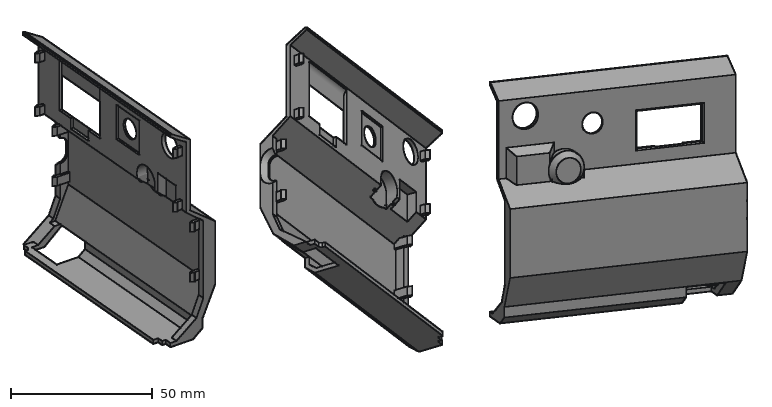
import cadquery as cq
import math


width = 90.15
height = 86.2
total_depth = 23.1
wall = 1.7

panel_back = 10.9
panel_front = panel_back + wall
panel_bottom_back = 52.7
panel_bottom_front = 52.4
slope_foot_back = 44.7
slope_foot_front = 43.8

lip_depth = 19.5
lip_end_flat = 0.7
lip_end_height = 1.0
lip_root_back = 81.5
lip_root_front = 80.95

lower_wall_bottom_back = 19.4
lower_wall_bottom_front = 20.0
bulge_top = 7.2
bulge_back = 5.5
bulge_wall = 1.9
bulge_inner = bulge_back + bulge_wall
bulge_inner_top = 7.0
bulge_corner_back = (9.65, 0)
bulge_corner_front = (10.3, wall)
bulge_side_bottom_back = 3.3
bulge_side_bottom_front = 4.0
floor_joint = 14.4

end_thickness = 2.9
end_front = 5.2
end_bend_high = 15.3
end_bend_low = (8.2, 8.2)
end_toe = 19.2
left_end_heel = 14.1

floor_step_depth = 21.0
tongue_left = 6.5
tongue_right = 84.7
tongue_chamfer = 0.9

opening_left = 5.9
opening_right = 21.0
opening_depth = 19.6

display_left = 12.6
display_right = 37.5
display_bottom = 58.15
display_top = 71.9
display_recess_flat_top = 78.1
display_recess_top = 80.05
display_recess_depth = 1.2
tab_left = 19.65
tab_right = 30.5
tab_bottom = 53.9

button_x, button_z = 54.45, 69.5
button_recess_side = 14.0
button_recess_depth = 0.9
button_diameter = 7.75
round_hole_x, round_hole_z = 80.0, 74.9
round_hole_diameter = 9.7

arch_x, arch_z = 65.5, 54.5
arch_radius = 6.8
arch_pocket_radius = 5.5
arch_pocket_throat = 10.55
arch_bottom = 50.4
boss_depth = 8.1
cap_height = 2.1

pyramid_x, pyramid_z = 78.2, 54.9
pyramid_top_side = 12.6
pyramid_wall = 0.8

clip_outer_x = 2.6
clip_inner_x = 3.9
clip_barb = 0.45
clip_height = 3.6
clip_reach = 3.6
clip_tip_length = 1.5
clip_peak = (3.0, 3.25)
panel_clip_bottoms = (52.6, 74.3)
lower_clip_bottoms = (21.6, 42.0)

notch_z = 34.7
notch_flat = 4.1
notch_radius = 3.1
notch_flare = 2.0


def side_prism(points, x_start, x_end):
    """Extrude a (depth, z) outline along X."""
    outline = [(-depth, z) for depth, z in points]
    plane = cq.Workplane("YZ", origin=(x_start, 0, 0))
    return plane.polyline(outline).close().extrude(x_end - x_start)


def block(x_range, depth_range, z_range):
    """Box given by its limits along X, depth and Z."""
    sizes = [high - low for low, high in (x_range, depth_range, z_range)]
    box = cq.Workplane("XY").box(*sizes, centered=False)
    return box.translate((x_range[0], -depth_range[1], z_range[0]))


def facing(x, depth, z):
    """Sketch plane facing -Y; extrusions run toward greater depth."""
    return cq.Workplane("XZ", origin=(x, -depth, z))


def make_wall():
    """Bent sheet from the lip down to the rear part of the floor."""
    return side_prism(
        [
            (lip_depth, height),
            (lip_depth - lip_end_flat, height),
            (panel_back, lip_root_back),
            (panel_back, panel_bottom_back),
            (0, slope_foot_back),
            (0, lower_wall_bottom_back),
            (bulge_back, bulge_top),
            (bulge_back, bulge_side_bottom_back),
            bulge_corner_back,
            (floor_joint, 0),
            (floor_joint, wall),
            bulge_corner_front,
            (bulge_inner, bulge_side_bottom_front),
            (bulge_inner, bulge_inner_top),
            (wall, lower_wall_bottom_front),
            (wall, slope_foot_front),
            (panel_front, panel_bottom_front),
            (panel_front, lip_root_front),
            (lip_depth, height - lip_end_height),
        ],
        0,
        width,
    )


def make_floor():
    """Floor plate with a stepped front edge."""
    right = width - end_thickness
    outline = [
        (end_thickness, floor_joint),
        (end_thickness, floor_step_depth),
        (tongue_left - tongue_chamfer, floor_step_depth),
        (tongue_left, floor_step_depth + tongue_chamfer),
        (tongue_left, total_depth),
        (tongue_right, total_depth),
        (tongue_right, floor_step_depth),
        (right, floor_step_depth),
        (right, lip_depth),
        (width, lip_depth),
        (width, floor_joint),
    ]
    points = [(x, -depth) for x, depth in outline]
    return cq.Workplane("XY").polyline(points).close().extrude(wall)


slope_rise = (panel_bottom_front - slope_foot_front) / (panel_front - wall)
end_top = slope_foot_front + slope_rise * (end_front - wall)
end_outline = [
    (end_front, end_top),
    (0, slope_foot_back),
    (0, lower_wall_bottom_back),
    (bulge_back, bulge_top),
    (bulge_back, bulge_side_bottom_back),
    bulge_corner_back,
    (end_toe, 0),
    end_bend_low,
    (end_front, end_bend_high),
]


def add_ends(body):
    """Close both ends, leaving the bulge off the left end block."""
    body = body.union(side_prism(end_outline, 0, end_thickness))
    body = body.union(side_prism(end_outline, width - end_thickness, width))
    low_zone = block((0, opening_left), (0, total_depth), (0, bulge_inner_top))
    body = body.union(side_prism(end_outline, 0, opening_left).intersect(low_zone))
    bulge_triangle = [(0, bulge_top), (bulge_back, bulge_top), (left_end_heel, 0), (0, 0)]
    bulge_zone = side_prism(bulge_triangle, 0, opening_left)
    opening = block((opening_left, opening_right), (0, opening_depth), (0, bulge_inner_top))
    return body.cut(bulge_zone).cut(opening)


def add_notch(body):
    """Rounded finger notch, flared toward the outside of the left end."""
    outer_radius = notch_radius + notch_flare
    outside = cq.Workplane("YZ", origin=(0, -end_front, notch_z))
    flare = outside.slot2D(notch_flat + 2 * outer_radius, 2 * outer_radius, 90)
    flare = flare.extrude(notch_flare, taper=45)
    throat = outside.slot2D(notch_flat + 2 * notch_radius, 2 * notch_radius, 90).extrude(end_thickness)
    return body.cut(flare).cut(throat)


def add_arch_boss(body):
    """Arched boss with a solid conical cap, hollowed from the front by a
    round pocket whose straight lower part opens through the slope."""
    sketch = facing(arch_x, boss_depth, arch_z).moveTo(-arch_radius, arch_bottom - arch_z)
    sketch = sketch.lineTo(-arch_radius, 0).threePointArc((0, arch_radius), (arch_radius, 0))
    boss = sketch.lineTo(arch_radius, arch_bottom - arch_z).close().extrude(panel_back - boss_depth)

    cap = facing(arch_x, boss_depth - cap_height, arch_z).circle(arch_radius - cap_height)
    cap = cap.workplane(offset=cap_height).circle(arch_radius).loft()

    pocket_length = panel_front - boss_depth
    round_pocket = facing(arch_x, boss_depth, arch_z).circle(arch_pocket_radius).extrude(pocket_length)
    half_throat = arch_pocket_throat / 2
    throat = block(
        (arch_x - half_throat, arch_x + half_throat),
        (boss_depth, panel_front),
        (slope_foot_front, arch_z),
    )
    return body.union(boss).cut(round_pocket).cut(throat).union(cap)


def add_pyramid_boss(body):
    """Hollow square boss with 45 degree sides, trimmed by the slope underside."""
    boss_height = panel_back - boss_depth
    base_side = pyramid_top_side + 2 * boss_height
    boss = facing(pyramid_x, boss_depth, pyramid_z).rect(pyramid_top_side, pyramid_top_side)
    boss = boss.workplane(offset=boss_height).rect(base_side, base_side).loft()
    under_slope = [
        (panel_front, panel_bottom_front),
        (wall, slope_foot_front),
        (panel_front, slope_foot_front),
    ]
    boss = boss.cut(side_prism(under_slope, 0, width))
    pocket_side = pyramid_top_side - 2 * pyramid_wall
    pocket_floor = boss_depth + pyramid_wall
    pocket = facing(pyramid_x, pocket_floor, pyramid_z).rect(pocket_side, pocket_side)
    return body.union(boss).cut(pocket.extrude(panel_front - pocket_floor))


def cut_display(body):
    """Display opening flared to the rear, with a recess above and a tab below."""
    x_range = (display_left, display_right)
    recess_floor = panel_front - display_recess_depth
    flare = recess_floor - panel_back
    recess_range = (recess_floor, panel_front)
    body = body.cut(block(x_range, recess_range, (display_bottom, display_recess_flat_top)))
    body = body.cut(block((tab_left, tab_right), recess_range, (tab_bottom, display_bottom)))

    opening_width = display_right - display_left
    opening_height = display_top - display_bottom
    center_x = (display_left + display_right) / 2
    center_z = (display_bottom + display_top) / 2
    rear = facing(center_x, panel_back, center_z).rect(opening_width + 2 * flare, opening_height + 2 * flare)
    body = body.cut(rear.workplane(offset=flare).rect(opening_width, opening_height).loft())

    run = display_recess_top - display_recess_flat_top
    radius = (run ** 2 + display_recess_depth ** 2) / (2 * display_recess_depth)
    half_angle = math.asin(run / radius) / 2
    arc_middle = (
        -(recess_floor + radius * (1 - math.cos(half_angle))),
        display_recess_flat_top + radius * math.sin(half_angle),
    )
    ramp = cq.Workplane("YZ", origin=(display_left, 0, 0)).moveTo(-recess_floor, display_recess_flat_top)
    ramp = ramp.threePointArc(arc_middle, (-panel_front, display_recess_top))
    ramp = ramp.lineTo(-panel_front, display_recess_flat_top).close()
    return body.cut(ramp.extrude(opening_width))


def cut_button_and_hole(body):
    """Square recess with a round hole, and the plain round hole."""
    recess = facing(button_x, panel_front - button_recess_depth, button_z)
    recess = recess.rect(button_recess_side, button_recess_side).extrude(button_recess_depth)
    button = facing(button_x, panel_back, button_z).circle(button_diameter / 2).extrude(wall)
    hole = facing(round_hole_x, panel_back, round_hole_z).circle(round_hole_diameter / 2).extrude(wall)
    return body.cut(recess).cut(button).cut(hole)


def make_clip(root_depth, base_depth, bottom):
    """Left-hand snap clip rising from root_depth and reaching past base_depth."""
    tip = base_depth + clip_reach
    barb = tip - clip_tip_length
    outline = [
        (clip_outer_x, root_depth),
        (clip_outer_x, barb),
        (clip_outer_x - clip_barb, barb),
        (clip_peak[0], tip),
        (clip_peak[1], tip),
        (clip_inner_x, barb),
        (clip_inner_x, root_depth),
    ]
    points = [(x, -depth) for x, depth in outline]
    plane = cq.Workplane("XY", origin=(0, 0, bottom))
    return plane.polyline(points).close().extrude(clip_height)


def add_clips(body):
    """Clips in mirrored pairs on the panel and inside the end plates."""
    places = [(panel_back, panel_front, bottom) for bottom in panel_clip_bottoms]
    places += [(wall, end_front, bottom) for bottom in lower_clip_bottoms]
    for root_depth, base_depth, bottom in places:
        clip = make_clip(root_depth, base_depth, bottom)
        mirrored = clip.mirror("YZ", (width / 2, 0, 0))
        body = body.union(clip).union(mirrored)
    return body


result = add_ends(make_wall().union(make_floor()))
result = add_notch(result)
result = add_pyramid_boss(result)
result = add_arch_boss(result)
result = cut_display(result)
result = cut_button_and_hole(result)
result = add_clips(result)